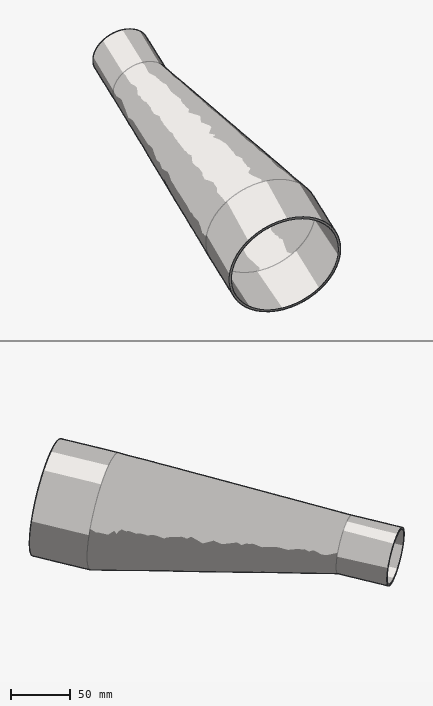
import cadquery as cq

large_outer_dia = 101.6
large_bore_dia = 97.38
small_outer_dia = 50.8
small_bore_dia = 47.5

small_end_length = 44.45
taper_length = 203.2
large_end_length = 50.8

taper_start_x = small_end_length
taper_end_x = taper_start_x + taper_length

small_end_offset_y = -(large_outer_dia - small_outer_dia) / 2


def cylinder_along_x(start_x, length, center_y, diameter):
    """Straight round length starting at start_x."""
    plane = cq.Workplane("YZ", origin=(start_x, center_y, 0))
    return plane.circle(diameter / 2).extrude(length)


def oblique_cone(small_diameter, large_diameter):
    """Straight-sided taper between the two offset end circles."""
    return (
        cq.Workplane("YZ", origin=(taper_start_x, 0, 0))
        .center(small_end_offset_y, 0)
        .circle(small_diameter / 2)
        .workplane(offset=taper_length)
        .center(-small_end_offset_y, 0)
        .circle(large_diameter / 2)
        .loft(ruled=True)
    )


def reducer_body(small_diameter, large_diameter):
    """Small end, taper and large end joined into one solid."""
    small_end = cylinder_along_x(0, small_end_length, small_end_offset_y, small_diameter)
    large_end = cylinder_along_x(taper_end_x, large_end_length, 0, large_diameter)
    taper = oblique_cone(small_diameter, large_diameter)
    return small_end.union(taper).union(large_end)


outer_body = reducer_body(small_outer_dia, large_outer_dia)
bore = reducer_body(small_bore_dia, large_bore_dia)
result = outer_body.cut(bore)